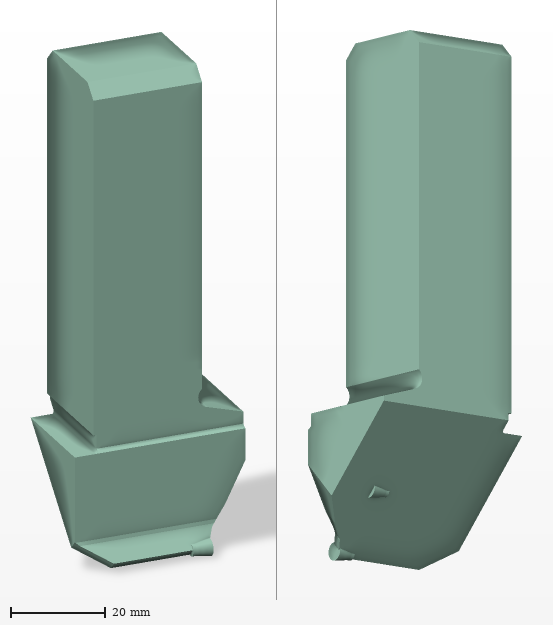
import cadquery as cq
import math

shank_width = 24.7
shank_depth = 25.1
total_height = 110.7
top_chamfer = 3.1
shank_foot_z = 30.4

head_right = 25.8
head_front = -4.8
head_back = 34.6
head_top_z = 26.6
back_lip_z = 30.0
ledge_blend = 0.7
front_relief = 0.8

neck_top_z = 36.8
neck_bottom_z = 32.4
neck_middle = (24.2, 34.9)
neck_end_y = 26.5

slope_level = 28.9
blade_level = 32.2
blade_root_x = 26.1
neck_corner_z = 6.9

slope_start = -88.5
upper_limit = 99.6
front_corner_along = 13.3
blade_end_along = 19.4
front_bevel_end_y = 2.5
jaw_tip_along = 15.0
jaw_middle = (11.2, 30.0)
jaw_back_along = 4.6

insert_bottom_y = 20.8
insert_rim_y = 21.6
insert_edge_y = 25.2
insert_top_y = 26.5
nose_radius = 2.0
nose_base_radius = 1.4
nose_x = 28.5
nose_spacing = 16.6
ramp_start = 3.7
ramp_end = 1.1

axis_level = (slope_level + blade_level) / 2
insert_width = (blade_level - slope_level) / math.sqrt(2)
nose_z = axis_level - nose_x
nose_along = (nose_x - nose_z) / math.sqrt(2)
insert_center = nose_along - nose_spacing / 2


def slope_plane():
    """Plane of the underside: local x runs down the slope, local y is +Y."""
    return cq.Plane(
        origin=(slope_level / 2, 0, slope_level / 2),
        xDir=(1, 0, -1),
        normal=(1, 0, 1),
    )


def front_outline():
    """Shank and head outline in XZ, extended over the head depth."""
    blade_tip_upper_x = blade_level / 2 + blade_end_along / math.sqrt(2)
    blade_tip_lower_x = slope_level / 2 + blade_end_along / math.sqrt(2)
    points = [
        (0, slope_level),
        (0, total_height - top_chamfer),
        (top_chamfer, total_height),
        (shank_width - top_chamfer, total_height),
        (shank_width, total_height - top_chamfer),
        (shank_width, head_top_z + ledge_blend),
        (head_right, head_top_z),
        (head_right, neck_corner_z),
        (blade_root_x, blade_level - blade_root_x),
        (blade_tip_upper_x, blade_level - blade_tip_upper_x),
        (blade_tip_lower_x, slope_level - blade_tip_lower_x),
    ]
    return (
        cq.Workplane("XZ", origin=(0, head_back, 0))
        .polyline(points)
        .close()
        .extrude(head_back - head_front)
    )


def side_outline():
    """Shank and head outline in YZ, with the front ledge and the back neck."""
    blend_mid = ledge_blend * (1 - math.sqrt(0.5))
    return (
        cq.Workplane("YZ")
        .moveTo(0, total_height)
        .lineTo(0, shank_foot_z)
        .lineTo(front_relief, shank_foot_z)
        .lineTo(front_relief, head_top_z + ledge_blend)
        .threePointArc(
            (front_relief - blend_mid, head_top_z + blend_mid),
            (front_relief - ledge_blend, head_top_z),
        )
        .lineTo(head_front, head_top_z)
        .lineTo(head_front, 0)
        .lineTo(head_back, 0)
        .lineTo(head_back, back_lip_z)
        .lineTo(neck_end_y, neck_bottom_z)
        .threePointArc(neck_middle, (shank_depth, neck_top_z))
        .lineTo(shank_depth, total_height)
        .close()
        .extrude(nose_x + nose_radius)
    )


def blade_outline():
    """Outline of the head seen square to its underside, from beveled front to clamping jaw."""
    head_points = [
        (slope_start, head_front),
        (front_corner_along, head_front),
        (blade_end_along, front_bevel_end_y),
        (blade_end_along, insert_bottom_y),
        (jaw_tip_along, insert_bottom_y),
        (jaw_tip_along, insert_top_y),
        jaw_middle,
        (jaw_back_along, head_back),
        (slope_start, head_back),
    ]
    return cq.Workplane(slope_plane()).polyline(head_points).close().extrude(upper_limit)


def nose(along):
    """Round cutting end: short cylinder below, flaring to the cutting edge."""
    axis_plane = cq.Plane(
        origin=(
            axis_level / 2 + along / math.sqrt(2),
            0,
            axis_level / 2 - along / math.sqrt(2),
        ),
        xDir=(1, 0, 1),
        normal=(-1, 0, 1),
    )
    profile = [
        (0, insert_bottom_y),
        (nose_base_radius, insert_bottom_y),
        (nose_base_radius, insert_rim_y),
        (nose_radius, insert_edge_y),
        (0, insert_edge_y),
    ]
    return cq.Workplane(axis_plane).polyline(profile).close().revolve(360, (0, 0), (0, 1))


def make_insert():
    """Straight bar with a ramp and a round nose at each end."""
    half = nose_spacing / 2
    points = [
        (insert_center - half, insert_bottom_y),
        (insert_center + half, insert_bottom_y),
        (insert_center + half, insert_edge_y),
        (insert_center + half - ramp_end, insert_edge_y),
        (insert_center + half - ramp_start, insert_top_y),
        (insert_center - half + ramp_start, insert_top_y),
        (insert_center - half + ramp_end, insert_edge_y),
        (insert_center - half, insert_edge_y),
    ]
    bar = cq.Workplane(slope_plane()).polyline(points).close().extrude(insert_width)
    for end in (-1, 1):
        bar = bar.union(nose(insert_center + end * half))
    return bar


def make_holder(insert):
    """Tool holder with a seat that matches the insert."""
    body = front_outline().intersect(side_outline()).intersect(blade_outline())
    return body.cut(insert)


insert = make_insert()
holder = make_holder(insert)

result = cq.Compound.makeCompound([holder.solids().val(), insert.solids().val()])